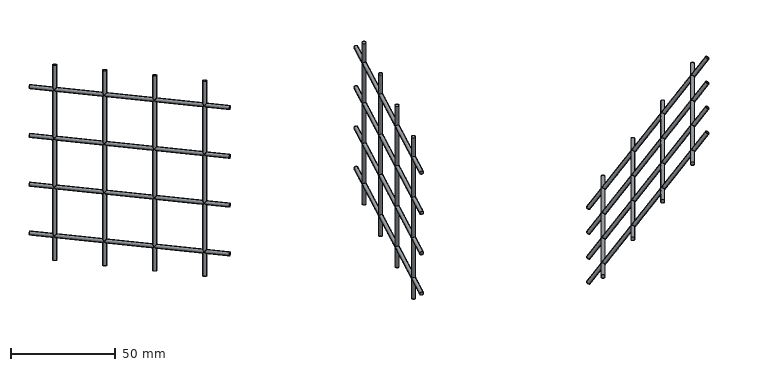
import cadquery as cq

side = 100.0
bar_diameter = 2.0
bars_each_way = 4
pitch = side / bars_each_way

bar_offsets = [(i + 0.5) * pitch - side / 2 for i in range(bars_each_way)]


def vertical_bar(x):
    """Round bar along Z, running the full height of the grid."""
    end_plane = cq.Workplane("XY").workplane(offset=-side / 2)
    return end_plane.center(x, 0).circle(bar_diameter / 2).extrude(side)


def horizontal_bar(z):
    """Round bar along X, running the full width of the grid."""
    end_plane = cq.Workplane("YZ").workplane(offset=-side / 2)
    return end_plane.center(0, z).circle(bar_diameter / 2).extrude(side)


result = vertical_bar(bar_offsets[0])
for z in bar_offsets:
    result = result.union(horizontal_bar(z))
for x in bar_offsets[1:]:
    result = result.union(vertical_bar(x))